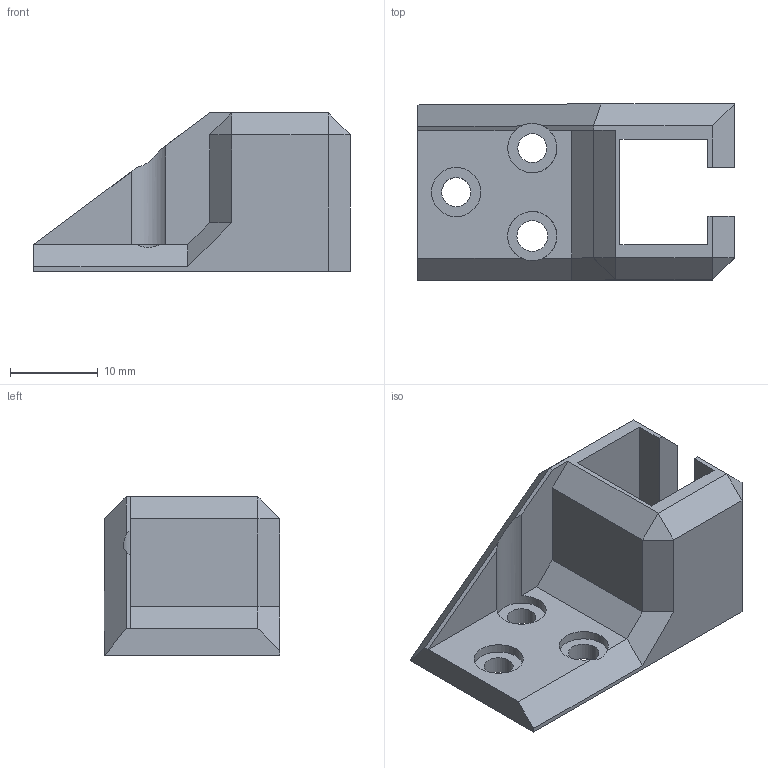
import cadquery as cq
import math

LENGTH = 36.0
WIDTH = 20.0
HEIGHT = 18.0
CHAMFER = 2.5

PLATE_THICKNESS = 3.0
TOWER_START = 20.0
WALL_THICKNESS = 3.0
WALL_FACE_Y = WIDTH - WALL_THICKNESS

SOCKET_START = 23.0
SOCKET_LENGTH = 10.0
SOCKET_WIDTH = 12.0
SLOT_WIDTH = 5.6

HOLE_SPACING = 10.0
HOLE_PAIR_X = 13.03
HOLE_DIAMETER = 3.3
LARGE_HOLE_DIAMETER = 3.5
COUNTERBORE_DIAMETER = 5.6
COUNTERBORE_DEPTH = 1.0

MID_Y = WIDTH / 2


def extrude_profile(points, y_start, y_end):
    """Extrude an XZ outline along +Y between two Y positions."""
    plane = cq.Workplane("XZ", origin=(0, y_start, 0))
    return plane.polyline(points).close().extrude(y_start - y_end)


def chamfer_edges(body, edge_midpoints):
    """Chamfer the edges whose midpoints are given."""
    edges = body.newObject([])
    for midpoint in edge_midpoints:
        edges = edges.add(body.edges(cq.selectors.NearestToPointSelector(midpoint)))
    return edges.chamfer(CHAMFER)


def make_plate_and_tower():
    """L-shaped body from the open side to the wall, chamfered all along its step."""
    outline = [
        (0, 0),
        (LENGTH, 0),
        (LENGTH, HEIGHT),
        (TOWER_START, HEIGHT),
        (TOWER_START, PLATE_THICKNESS),
        (0, PLATE_THICKNESS),
    ]
    body = extrude_profile(outline, 0, WALL_FACE_Y)
    edge_y = WALL_FACE_Y / 2
    tower_mid_x = (TOWER_START + LENGTH) / 2
    return chamfer_edges(body, [
        (TOWER_START / 2, 0, PLATE_THICKNESS),
        (TOWER_START, edge_y, PLATE_THICKNESS),
        (TOWER_START, 0, (PLATE_THICKNESS + HEIGHT) / 2),
        (TOWER_START, edge_y, HEIGHT),
        (tower_mid_x, 0, HEIGHT),
        (LENGTH, edge_y, HEIGHT),
        (LENGTH, 0, HEIGHT / 2),
    ])


def make_side_wall():
    """Full-length wall that slopes from the plate up to the tower top."""
    overshoot = 2 * CHAMFER
    slope = (HEIGHT - PLATE_THICKNESS) / TOWER_START
    slope_foot_z = PLATE_THICKNESS - overshoot * slope
    outline = [
        (-overshoot, -2 * overshoot),
        (LENGTH, -2 * overshoot),
        (LENGTH, HEIGHT),
        (TOWER_START, HEIGHT),
        (-overshoot, slope_foot_z),
    ]
    wall = chamfer_edges(extrude_profile(outline, WALL_FACE_Y, WIDTH), [
        ((TOWER_START - overshoot) / 2, WIDTH, (HEIGHT + slope_foot_z) / 2),
        ((TOWER_START + LENGTH) / 2, WIDTH, HEIGHT),
        (LENGTH, (WALL_FACE_Y + WIDTH) / 2, HEIGHT),
    ])
    envelope = cq.Workplane().box(LENGTH, WIDTH, HEIGHT, centered=False)
    return wall.intersect(envelope)


def cut_socket(body):
    """Cut the socket and its end slot through the full height."""
    socket = cq.Workplane().box(SOCKET_LENGTH, SOCKET_WIDTH, HEIGHT, centered=(False, True, False))
    slot = cq.Workplane().box(LENGTH - SOCKET_START, SLOT_WIDTH, HEIGHT, centered=(False, True, False))
    return body.cut(socket.union(slot).translate((SOCKET_START, MID_Y, 0)))


def cut_screw_hole(body, x, y, diameter):
    """Cut a through hole with a counterbore that also clears the wall above it."""
    floor_z = PLATE_THICKNESS - COUNTERBORE_DEPTH
    hole = cq.Workplane(origin=(x, y, 0)).circle(diameter / 2).extrude(HEIGHT)
    counterbore = cq.Workplane(origin=(x, y, floor_z)).circle(COUNTERBORE_DIAMETER / 2).extrude(HEIGHT)
    return body.cut(hole).cut(counterbore)


single_hole_x = HOLE_PAIR_X - HOLE_SPACING * math.sqrt(3) / 2
screw_holes = [
    (single_hole_x, MID_Y, HOLE_DIAMETER),
    (HOLE_PAIR_X, MID_Y + HOLE_SPACING / 2, HOLE_DIAMETER),
    (HOLE_PAIR_X, MID_Y - HOLE_SPACING / 2, LARGE_HOLE_DIAMETER),
]

result = make_plate_and_tower().union(make_side_wall()).clean()
result = cut_socket(result)
for hole_x, hole_y, hole_diameter in screw_holes:
    result = cut_screw_hole(result, hole_x, hole_y, hole_diameter)